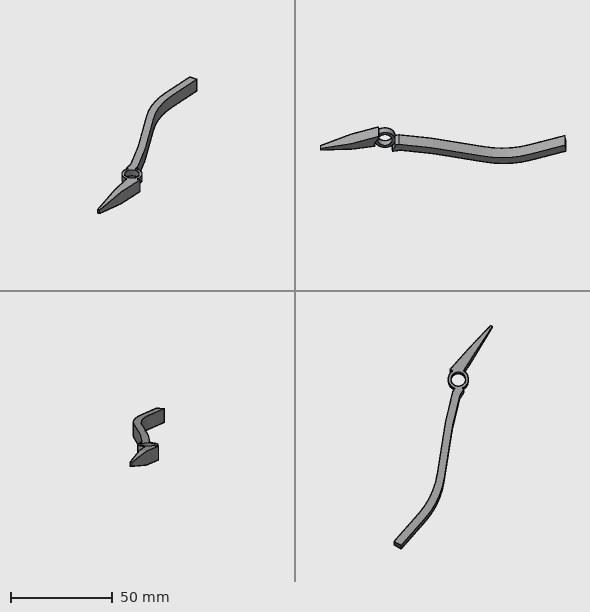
import cadquery as cq
import math

thickness = 7.0

ring_radius = 5.0
bore_radius = 3.6
ring_height = thickness / 2

handle_width = 4.0
handle_end_y = 86.9
bend_start_y = 68.5
bend_end_y = 46.3
bend_end_x = -20.2
bend_radius = 40.7
bend_sweep = math.radians(32)
knee_start = (-10.6, 23.3)
knee_end = (-9.5, 20.5)
knee_sag = 0.03
handle_root_y = 2.9
root_straight_top_y = 6.9
handle_end_lean = math.radians(9)

jaw_root_x = 6.1
jaw_root_y = -2.1
jaw_tip_x = 1.1
jaw_tip_y = -32.1
taper_start_y = -16.2
tip_height = 2.1


def midpoint_on_arc(start, end, sag):
    """Point offset by sag to the right of the chord's midpoint."""
    dx = end[0] - start[0]
    dy = end[1] - start[1]
    chord = math.hypot(dx, dy)
    middle_x = (start[0] + end[0]) / 2 + sag * dy / chord
    middle_y = (start[1] + end[1]) / 2 - sag * dx / chord
    return (middle_x, middle_y)


def make_handle():
    bend_chord = 2 * bend_radius * math.sin(bend_sweep / 2)
    bend_rise = bend_start_y - bend_end_y
    bend_start_x = bend_end_x - math.sqrt(bend_chord**2 - bend_rise**2)
    bend_start = (bend_start_x, bend_start_y)
    bend_end = (bend_end_x, bend_end_y)
    bend_sag = bend_radius * (1 - math.cos(bend_sweep / 2))
    bend_middle = midpoint_on_arc(bend_start, bend_end, bend_sag)
    knee_middle = midpoint_on_arc(knee_start, knee_end, -knee_sag)
    end_x = bend_start_x + (handle_end_y - bend_start_y) * math.tan(handle_end_lean)
    root_x = -ring_radius

    def other_side(point):
        return (point[0] + handle_width, point[1])

    end = (end_x, handle_end_y)
    root_top = (root_x, root_straight_top_y)
    root = (root_x, handle_root_y)
    return (
        cq.Workplane("XY")
        .moveTo(*end)
        .lineTo(*bend_start)
        .threePointArc(bend_middle, bend_end)
        .lineTo(*knee_start)
        .threePointArc(knee_middle, knee_end)
        .lineTo(*root_top)
        .lineTo(*root)
        .lineTo(*other_side(root))
        .lineTo(*other_side(root_top))
        .lineTo(*other_side(knee_end))
        .threePointArc(other_side(knee_middle), other_side(knee_start))
        .lineTo(*other_side(bend_end))
        .threePointArc(other_side(bend_middle), other_side(bend_start))
        .lineTo(*other_side(end))
        .close()
        .extrude(thickness)
    )


def make_jaw():
    outline = [(0, jaw_root_y), (jaw_root_x, jaw_root_y), (jaw_tip_x, jaw_tip_y), (0, jaw_tip_y)]
    jaw = cq.Workplane("XY").polyline(outline).close().extrude(thickness)
    tip_bottom = (thickness - tip_height) / 2
    side_profile = [
        (jaw_root_y, 0),
        (taper_start_y, 0),
        (jaw_tip_y, tip_bottom),
        (jaw_tip_y, tip_bottom + tip_height),
        (taper_start_y, thickness),
        (jaw_root_y, thickness),
    ]
    tapered_bar = cq.Workplane("YZ").polyline(side_profile).close().extrude(jaw_root_x)
    return jaw.intersect(tapered_bar)


ring_bottom = thickness - ring_height
ring = cq.Workplane("XY").workplane(offset=ring_bottom).circle(ring_radius).extrude(ring_height)
mating_recess = cq.Workplane("XY").circle(ring_radius).extrude(ring_bottom)
bore = cq.Workplane("XY").circle(bore_radius).extrude(thickness)

result = make_handle().union(make_jaw()).cut(mating_recess).union(ring).cut(bore)